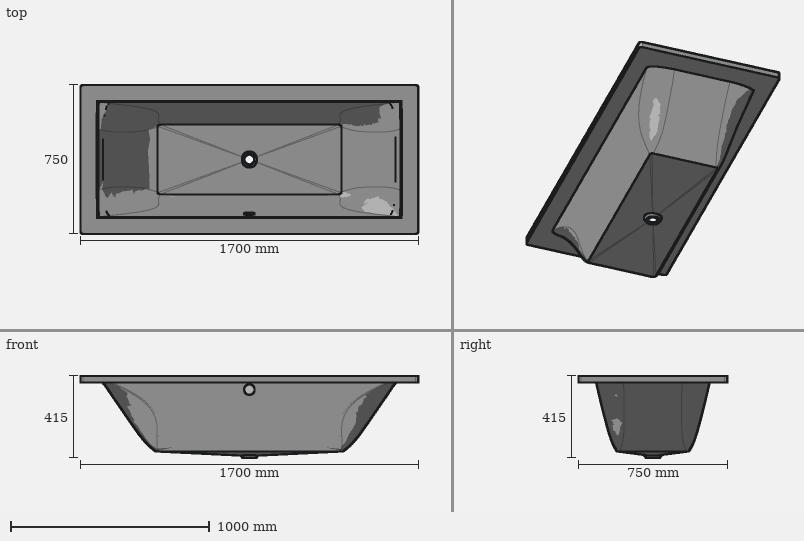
import cadquery as cq
import math

RIM_LENGTH = 1700
RIM_WIDTH = 750.0
RIM_THICKNESS = 34
RIM_CORNER_RADIUS = 14.0

END_WALL = 8.0
SIDE_WALL = 5.0
FLOOR_THICKNESS = 7.0
WALL_DEPTH = 380.0

BASIN_SECTIONS = [
    (0, 768.0, 294.0, 3.0, 136),
    (RIM_THICKNESS, 736.0, 285.0, 37.0, 136),
    (94.0, 695.0, 272, 112.0, 128.0),
    (170, 643.0, 253.0, 148.0, 109.0),
    (262.0, 580.0, 230.0, 115.0, 85),
    (326.0, 530.0, 209.0, 65.0, 58.0),
    (WALL_DEPTH, 471.0, 180.0, 15.0, 12.0),
]

ELLIPSE_HANDLE = 4 / 3 * (math.sqrt(2) - 1)

FLOOR_FALL = 22.0
FLOOR_CORNER_CUT = 15.0
DRAIN_SEAT_DIAMETER = 80.0
DRAIN_HOLE_DIAMETER = 50.0
DRAIN_BOSS_DIAMETER = 68
DRAIN_BOTTOM_DEPTH = 415.0

OVERFLOW_DIAMETER = 53.0
OVERFLOW_DEPTH = 70.0


def section_wire(depth, half_x, half_y, reach_x, reach_y):
    """Horizontal rectangle with elliptical corners, each drawn as a cubic curve."""
    flat_x = half_x - reach_x
    flat_y = half_y - reach_y
    handle_x = flat_x + ELLIPSE_HANDLE * reach_x
    handle_y = flat_y + ELLIPSE_HANDLE * reach_y
    corner_curve = [(half_x, flat_y), (half_x, handle_y), (handle_x, half_y), (flat_x, half_y)]
    outline = cq.Workplane("XY", origin=(0, 0, -depth)).moveTo(half_x, -flat_y)
    for sign_x, sign_y in ((1, 1), (-1, 1), (-1, -1), (1, -1)):
        curve = [(sign_x * x, sign_y * y) for x, y in corner_curve]
        if sign_x != sign_y:
            curve.reverse()
        outline = outline.lineTo(*curve[0]).bezier(curve[1:], includeCurrent=True)
    return outline.close().val()


def basin_form(inset_x, inset_y, floor_depth):
    """Solid with the basin's side shape, moved inward and reaching down to floor_depth."""
    wires = [
        section_wire(depth * floor_depth / WALL_DEPTH, half_x - inset_x, half_y - inset_y, reach_x, reach_y)
        for depth, half_x, half_y, reach_x, reach_y in BASIN_SECTIONS
    ]
    return cq.Workplane(cq.Solid.makeLoft(wires))


def floor_form(half_x, half_y, top_depth):
    """Inverted pyramid with narrow hip faces, cut off flat at the drain."""
    long_x = half_x - FLOOR_CORNER_CUT
    long_y = half_y - FLOOR_CORNER_CUT / 2
    corner_points = [
        (half_x, long_y), (long_x, half_y), (-long_x, half_y), (-half_x, long_y),
        (-half_x, -long_y), (-long_x, -half_y), (long_x, -half_y), (half_x, -long_y),
    ]
    drain_scale = DRAIN_HOLE_DIAMETER / 2 / half_x
    wires = []
    for scale, depth in ((1, top_depth), (drain_scale, top_depth + FLOOR_FALL)):
        points = [cq.Vector(x * scale, y * scale, -depth) for x, y in corner_points]
        wires.append(cq.Wire.makePolygon(points, close=True))
    return cq.Workplane(cq.Solid.makeLoft(wires, True))


def drain_cone(top_diameter, bottom_diameter, top_depth):
    """Cone on the drain axis, ending at the bottom of the drain."""
    height = DRAIN_BOTTOM_DEPTH - top_depth
    bottom = cq.Vector(0, 0, -DRAIN_BOTTOM_DEPTH)
    return cq.Workplane(cq.Solid.makeCone(bottom_diameter / 2, top_diameter / 2, height, bottom))


floor_half_x, floor_half_y = BASIN_SECTIONS[-1][1:3]
inner_depth = WALL_DEPTH - FLOOR_THICKNESS
outer_walls = basin_form(0, 0, WALL_DEPTH)
inner_walls = basin_form(END_WALL, SIDE_WALL, inner_depth)
outer_floor = floor_form(floor_half_x, floor_half_y, WALL_DEPTH)
inner_floor = floor_form(floor_half_x - END_WALL, floor_half_y - SIDE_WALL, inner_depth)

boss_top_diameter = DRAIN_SEAT_DIAMETER + 2 * FLOOR_THICKNESS
boss_top_depth = inner_depth + FLOOR_FALL
seat_top_depth = boss_top_depth - FLOOR_THICKNESS / 2
drain_boss = drain_cone(boss_top_diameter, DRAIN_BOSS_DIAMETER, boss_top_depth)
drain_seat = drain_cone(DRAIN_SEAT_DIAMETER, DRAIN_HOLE_DIAMETER, seat_top_depth)

overflow = (
    cq.Workplane("XZ", origin=(0, 0, -OVERFLOW_DEPTH))
    .circle(OVERFLOW_DIAMETER / 2)
    .extrude(RIM_WIDTH / 2)
)

basin = (
    outer_walls.union(outer_floor)
    .union(drain_boss)
    .cut(inner_walls)
    .cut(inner_floor)
    .cut(drain_seat)
    .cut(overflow)
)

rim = (
    cq.Workplane("XY")
    .rect(RIM_LENGTH, RIM_WIDTH)
    .extrude(-RIM_THICKNESS)
    .edges("|Z")
    .fillet(RIM_CORNER_RADIUS)
    .cut(outer_walls)
)

result = cq.Compound.makeCompound([*rim.vals(), *basin.vals()])